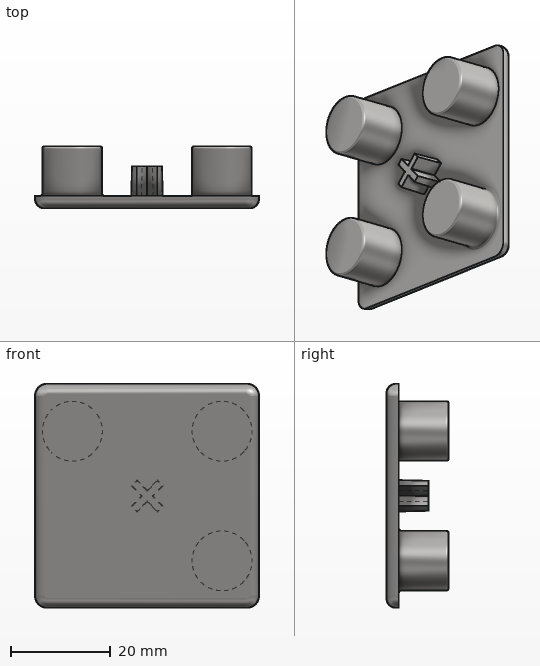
import cadquery as cq

plate_side = 45.0
plate_thickness = 2.5
corner_radius = 2.5
front_edge_radius = 2.0

overall_depth = 12.5
peg_diameter = 12.0
peg_spacing_x = 30.0
peg_spacing_z = 26.0
peg_round = 0.5
peg_length = overall_depth - plate_thickness

post_length = 6.0
post_span = 7.4
post_arm_width = 1.6
post_draft = 1.0
post_angle = 45.0


def back_plane():
    """Sketch plane on the back of the plate, extruding toward +Y."""
    plane = cq.Plane(origin=(0, plate_thickness, 0), xDir=(1, 0, 0), normal=(0, 1, 0))
    return cq.Workplane(plane)


def make_plate():
    block = cq.Workplane("XY").box(plate_side, plate_thickness, plate_side, centered=(True, False, True))
    return block.edges("|Y").fillet(corner_radius).faces("<Y").edges().fillet(front_edge_radius)


def make_peg(x, z):
    peg = back_plane().center(x, -z).circle(peg_diameter / 2).extrude(peg_length)
    return peg.faces(">Y").edges().fillet(peg_round)


def make_post():
    tip = post_span / 2
    side = post_arm_width / 2
    outline = [
        (tip, -side), (tip, side), (side, side),
        (side, tip), (-side, tip), (-side, side),
        (-tip, side), (-tip, -side), (-side, -side),
        (-side, -tip), (side, -tip), (side, -side),
    ]
    post = back_plane().polyline(outline).close().extrude(post_length, taper=post_draft)
    return post.rotate((0, 0, 0), (0, 1, 0), post_angle)


def round_peg_root(body, x, z):
    """Fillet the circle where one peg meets the plate."""
    reach = peg_diameter / 2 + peg_round
    root = cq.selectors.BoxSelector(
        (x - reach, plate_thickness - peg_round, z - reach),
        (x + reach, plate_thickness + peg_round, z + reach),
        boundingbox=True,
    )
    return body.edges(root).fillet(peg_round)


result = make_plate()
for x_sign in (-1, 1):
    for z_sign in (-1, 1):
        result = result.union(make_peg(x_sign * peg_spacing_x / 2, z_sign * peg_spacing_z / 2))

result = round_peg_root(result, -peg_spacing_x / 2, -peg_spacing_z / 2)
result = result.union(make_post())